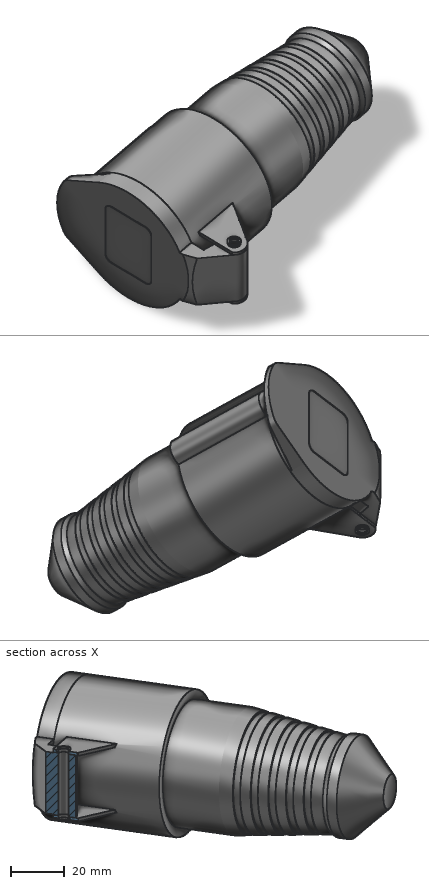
import cadquery as cq
import math


lid_depth = 6.8
housing_end = 50.1
ribs_start = 72.6
overall_length = 131.5

housing_radius = 27.9
boss_radius = 5.72
boss_x = -26.4

grip_radius = 24.2
rib_slope = 0.14
groove_count = 5
groove_pitch = 6.7
first_groove = 77.8
groove_width = 2.8
groove_drop = 0.3
ribs_end = 112.0
collar_radius = 19.7
collar_start = 114.0
collar_end = 118.0
tip_radius = 6.6

pin_x = 38.1
pin_y = 15.9
hinge_radius = 5.0
ear_inner_z = 12.4
ear_outer_z = 13.7
ear_x = 24.2
ear_bottom = 11.7
ear_top = 31.7
arm_toe_x = 30.2
arm_root_x = 30.9
arm_chamfer_inner = 29.3
arm_chamfer_outer = 35.0
arm_chamfer_rise = 2.1

pin_shank_radius = 2.0
pin_bore_radius = 1.78
pin_head_radius = 2.6
pin_neck_radius = 2.5
pin_end_z = 14.5

lip_reach = 34.6
lip_end_radius = 28.9
lip_side_angle = math.radians(30)
lip_corner_radius = 6.6
lip_root_height = 6.0
lip_tip_height = 2.1

label_width = 22.2
label_height = 29.7
label_corner_radius = 2.9
label_depth = 0.2


def hinge_tangent(start, side):
    """Point where the line from start touches the hinge circle; side +1 keeps the circle on its left."""
    dx = pin_x - start[0]
    dy = pin_y - start[1]
    distance = math.hypot(dx, dy)
    heading = math.atan2(dy, dx) - side * math.asin(hinge_radius / distance)
    reach = math.sqrt(distance**2 - hinge_radius**2)
    return start[0] + reach * math.cos(heading), start[1] + reach * math.sin(heading)


def cylinder_along_y(x, radius, start, end):
    return cq.Workplane("XZ", origin=(x, start, 0)).circle(radius).extrude(start - end)


def cylinder_along_hinge(radius, half_length):
    return cq.Workplane("XY").center(pin_x, pin_y).circle(radius).extrude(half_length, both=True)


def barrel_with_boss(start, end):
    """Round barrel with the rounded lengthwise boss on its -X side."""
    barrel = cylinder_along_y(0, housing_radius, start, end)
    return barrel.union(cylinder_along_y(boss_x, boss_radius, start, end))


def make_grip():
    """Turned grip: plain sleeve, tapered ribs, collar and cone."""

    def rib_radius(y):
        return grip_radius - rib_slope * (y - ribs_start)

    points = [(0, housing_end), (grip_radius, housing_end), (grip_radius, ribs_start)]
    for index in range(groove_count):
        start = first_groove + index * groove_pitch
        end = start + groove_width
        floor_radius = rib_radius(end) - groove_drop
        points += [
            (rib_radius(start), start),
            (floor_radius, start),
            (floor_radius, end),
            (rib_radius(end), end),
        ]
    points += [
        (rib_radius(ribs_end), ribs_end),
        (collar_radius, collar_start),
        (collar_radius, collar_end),
        (tip_radius, overall_length),
        (0, overall_length),
    ]
    return cq.Workplane("XY").polyline(points).close().revolve(360, (0, 0, 0), (0, 1, 0))


def make_ears():
    """Two parallel hinge ears standing off the +X side of the housing."""
    upper_corner = (ear_x, ear_top)
    bottom_end_x = pin_x + math.sqrt(hinge_radius**2 - (pin_y - ear_bottom) ** 2)
    outline = (
        cq.Workplane("XY")
        .moveTo(ear_x, ear_bottom)
        .lineTo(bottom_end_x, ear_bottom)
        .threePointArc((pin_x + hinge_radius, pin_y), hinge_tangent(upper_corner, -1))
        .lineTo(*upper_corner)
        .close()
    )
    ears = outline.extrude(ear_outer_z, both=True)
    gap_size = 2 * ear_top
    gap = cq.Workplane("XY").center(ear_x, ear_top / 2).rect(gap_size, gap_size)
    return ears.cut(gap.extrude(ear_inner_z, both=True))


def make_housing():
    housing = barrel_with_boss(lid_depth, housing_end).union(make_ears())
    return housing.cut(cylinder_along_hinge(pin_shank_radius, pin_end_z))


def make_lip():
    """Opening lip on the -X side: straight flanks tangent to the lid, a round end and a sloping back."""
    flank_x = -housing_radius * math.sin(lip_side_angle)
    flank_z = housing_radius * math.cos(lip_side_angle)
    end_centre_x = lip_end_radius - lip_reach
    centre_to_flank = housing_radius + end_centre_x * math.sin(lip_side_angle)
    corner_angle = math.pi / 2 + lip_side_angle + math.acos(centre_to_flank / lip_end_radius)
    corner_x = end_centre_x + lip_end_radius * math.cos(corner_angle)
    corner_z = lip_end_radius * math.sin(corner_angle)
    lip = (
        cq.Workplane("XZ")
        .moveTo(0, 0)
        .lineTo(flank_x, flank_z)
        .lineTo(corner_x, corner_z)
        .threePointArc((-lip_reach, 0), (corner_x, -corner_z))
        .lineTo(flank_x, -flank_z)
        .close()
        .extrude(-lid_depth)
        .edges("|Y")
        .edges("<X")
        .fillet(lip_corner_radius)
    )
    side_profile = (
        cq.Workplane("XY")
        .moveTo(0, 0)
        .lineTo(-lip_reach, 0)
        .lineTo(-lip_reach, lip_tip_height)
        .lineTo(flank_x, lip_root_height)
        .lineTo(0, lip_root_height)
        .close()
        .extrude(housing_radius, both=True)
    )
    return lip.intersect(side_profile)


def make_arm():
    """Hinge arm of the lid, fitting between the ears, with a conical chamfer on its front edge."""
    toe = (arm_toe_x, 0)
    root = (arm_root_x, lid_depth)
    arm = (
        cq.Workplane("XY")
        .moveTo(0, 0)
        .lineTo(*toe)
        .lineTo(*hinge_tangent(toe, 1))
        .threePointArc((pin_x, pin_y + hinge_radius), hinge_tangent(root, -1))
        .lineTo(*root)
        .lineTo(0, lid_depth)
        .close()
        .extrude(ear_inner_z, both=True)
    )
    chamfer = (
        cq.Workplane("XY")
        .polyline([(arm_chamfer_inner, 0), (arm_chamfer_outer, 0), (arm_chamfer_outer, arm_chamfer_rise)])
        .close()
        .revolve(360, (0, 0, 0), (0, 1, 0))
    )
    return arm.cut(chamfer)


def make_lid():
    lid = barrel_with_boss(0, lid_depth)
    lid = lid.union(make_lip()).union(make_arm())
    label = (
        cq.Workplane("XZ")
        .rect(label_width, label_height)
        .extrude(-label_depth)
        .edges("|Y")
        .fillet(label_corner_radius)
    )
    return lid.cut(label).cut(cylinder_along_hinge(pin_shank_radius, pin_end_z))


def make_pin():
    """Tubular hinge pin with a slightly flared head outside each ear."""
    profile = [
        (pin_bore_radius, -pin_end_z),
        (pin_head_radius, -pin_end_z),
        (pin_neck_radius, -ear_outer_z),
        (pin_shank_radius, -ear_outer_z),
        (pin_shank_radius, ear_outer_z),
        (pin_neck_radius, ear_outer_z),
        (pin_head_radius, pin_end_z),
        (pin_bore_radius, pin_end_z),
    ]
    pin = cq.Workplane("XZ").polyline(profile).close().revolve(360, (0, 0, 0), (0, 1, 0))
    return pin.translate((pin_x, pin_y, 0))


grip = make_grip()
housing = make_housing()
lid = make_lid()
pin = make_pin()

result = cq.Compound.makeCompound([body.solids().val() for body in (grip, housing, lid, pin)])